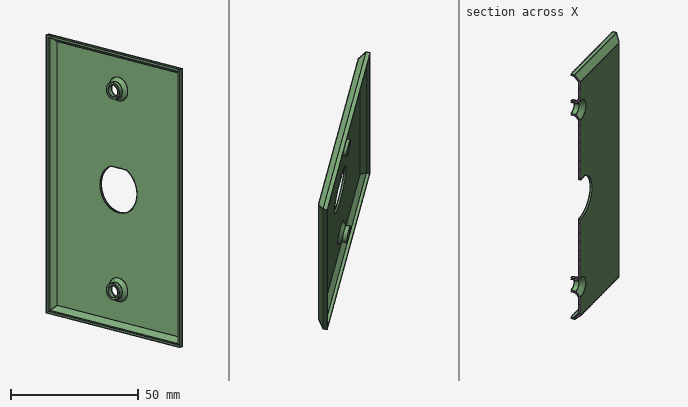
import cadquery as cq
import math

WIDTH = 69.85
HEIGHT = 114.3
DEPTH = 4.19
OPEN_Y = -DEPTH / 2
FACE_Y = DEPTH / 2

SHEET = 0.889
BEND_ANGLE = 45
BEND_SHIFT = SHEET * math.tan(math.radians(BEND_ANGLE / 2))
FLOOR_Y = FACE_Y - SHEET

BEVEL = 2.54
RIM_DEPTH = DEPTH - BEVEL
POCKET_STRAIGHT = RIM_DEPTH - BEND_SHIFT
FLOOR_INSET = BEVEL + BEND_SHIFT

OPENING_DIAMETER = 19.3
OPENING_FLAT_HEIGHT = 8.75

SCREW_OFFSET = 41.275
SCREW_HOLE_DIAMETER = 4.95
BOSS_BASE_DIAMETER = 9.75
COLLAR_DIAMETER = SCREW_HOLE_DIAMETER + 2 * SHEET
BOSS_CONE_HEIGHT = (BOSS_BASE_DIAMETER - COLLAR_DIAMETER) / 2
COLLAR_LENGTH = FLOOR_Y - OPEN_Y - BOSS_CONE_HEIGHT
SCREW_BORE_LENGTH = COLLAR_LENGTH + BEND_SHIFT
COUNTERSINK_DEPTH = DEPTH - SCREW_BORE_LENGTH
COUNTERSINK_DIAMETER = SCREW_HOLE_DIAMETER + 2 * COUNTERSINK_DEPTH


def plane_at(y):
    """Plane at the given Y whose local axes are -X, Z and whose normal is +Y."""
    return cq.Plane(origin=(0, y, 0), xDir=(-1, 0, 0), normal=(0, 1, 0))


def bevelled_block(outline_inset, straight_depth, end_inset, end_y):
    """Rectangular block rising from the open side, straight at first and then tapering."""
    shoulder_y = OPEN_Y + straight_depth
    width = WIDTH - 2 * outline_inset
    height = HEIGHT - 2 * outline_inset
    straight = cq.Workplane(plane_at(OPEN_Y)).rect(width, height).extrude(straight_depth)
    taper = (
        cq.Workplane(plane_at(shoulder_y))
        .rect(width, height)
        .workplane(offset=end_y - shoulder_y)
        .rect(WIDTH - 2 * end_inset, HEIGHT - 2 * end_inset)
        .loft(ruled=True)
    )
    return straight.union(taper)


def screw_boss(z):
    """Cone on the inner floor, ending in a straight collar flush with the rim."""
    cone = (
        cq.Workplane(plane_at(FLOOR_Y))
        .center(0, z)
        .circle(BOSS_BASE_DIAMETER / 2)
        .workplane(offset=-BOSS_CONE_HEIGHT)
        .circle(COLLAR_DIAMETER / 2)
        .loft(ruled=True)
    )
    collar = cq.Workplane(plane_at(OPEN_Y)).center(0, z).circle(COLLAR_DIAMETER / 2).extrude(COLLAR_LENGTH)
    return cone.union(collar)


def screw_hole(z):
    """Straight bore from the open side, opening into a countersink in the outer face."""
    bore_radius = SCREW_HOLE_DIAMETER / 2
    bore = cq.Workplane(plane_at(OPEN_Y)).center(0, z).circle(bore_radius).extrude(DEPTH)
    countersink = (
        cq.Workplane(plane_at(OPEN_Y + SCREW_BORE_LENGTH))
        .center(0, z)
        .circle(bore_radius)
        .workplane(offset=COUNTERSINK_DEPTH)
        .circle(COUNTERSINK_DIAMETER / 2)
        .loft(ruled=True)
    )
    return bore.union(countersink)


def connector_opening():
    """Through opening: a circle cut off by a flat on its +Z side."""
    radius = OPENING_DIAMETER / 2
    circle = cq.Workplane(plane_at(OPEN_Y)).circle(radius).extrude(DEPTH)
    below_flat = (
        cq.Workplane(plane_at(OPEN_Y))
        .center(0, (OPENING_FLAT_HEIGHT - radius) / 2)
        .rect(OPENING_DIAMETER, OPENING_FLAT_HEIGHT + radius)
        .extrude(DEPTH)
    )
    return circle.intersect(below_flat)


shell = bevelled_block(0, RIM_DEPTH, BEVEL, FACE_Y)
pocket = bevelled_block(SHEET, POCKET_STRAIGHT, FLOOR_INSET, FLOOR_Y)
result = shell.cut(pocket).cut(connector_opening())
for screw_z in (-SCREW_OFFSET, SCREW_OFFSET):
    result = result.union(screw_boss(screw_z)).cut(screw_hole(screw_z))